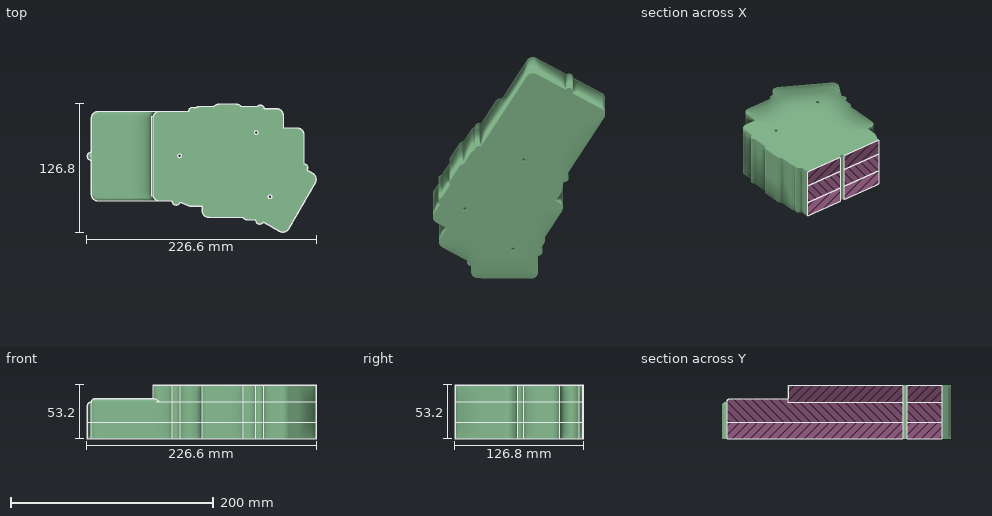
import cadquery as cq
import math


LID_HEIGHT = 16.62
BASE_HEIGHT = LID_HEIGHT
MIDDLE_HEIGHT = 20.0
BASE_TOP = BASE_HEIGHT
MIDDLE_TOP = BASE_TOP + MIDDLE_HEIGHT
LID_TOP = MIDDLE_TOP + LID_HEIGHT

CORNER_RADIUS = 7.0

TAIL_LEFT = -109.25
TAIL_FRONT = -32.7
TAIL_BACK = 56.2
TAIL_RIGHT = 16.0
TAIL_MIDDLE_Y = (TAIL_FRONT + TAIL_BACK) / 2
LID_LEFT = -48.2

HEAD_BLOCKS = [
    (-9.3, 40.0, -20.0, 61.0),
    (10.4, 40.9, -40.0, 63.425),
    (30.0, 63.0, -40.0, 61.0),
    (43.0, 80.9, -40.0, 58.9),
    (57.0, 101.3, -26.0, 39.8),
    (0.3, 70.0, -48.8, 28.0),
    (39.2, 70.0, -51.5, 28.0),
]

TURNED_SIDE = 66.3
TURNED_ANGLE = -30.0
TURNED_CENTRE = (70.58, -20.7)

WEDGE_ANGLE = 22.0
WEDGE_FRONT = -37.8
WEDGE_CORNER_X = -11.6
WEDGE_LEFT = -25.4
WEDGE_RIGHT = 16.0
WEDGE_BACK = 0.0

BOSS_RADIUS = 4.0
BOSS_CENTRES = [
    (-25.2, TAIL_FRONT),
    (-8.95, TAIL_BACK),
    (58.1, 58.4),
    (101.0, 0.3),
    (57.4, -51.5),
]

END_BOSS_SHOULDER = MIDDLE_TOP - BOSS_RADIUS

HOLE_DIAMETER = 3.4
HOLE_CENTRES = [(-21.8, 12.2), (53.9, 35.1), (67.5, -28.3)]

PAD_RISE = 3.3
PAD_GAP = 1.3
PAD_GAP_END_MARGIN = 5.0
PAD_OVERRUN = 20.0


def rounded_block(left, right, front, back, bottom, top):
    return (
        cq.Workplane("XY", origin=((left + right) / 2, (front + back) / 2, bottom))
        .rect(right - left, back - front)
        .extrude(top - bottom)
        .edges("|Z")
        .fillet(CORNER_RADIUS)
    )


def turned_block(bottom, top):
    return (
        cq.Workplane("XY", origin=(*TURNED_CENTRE, bottom))
        .transformed(rotate=(0, 0, TURNED_ANGLE))
        .rect(TURNED_SIDE, TURNED_SIDE)
        .extrude(top - bottom)
        .edges("|Z")
        .fillet(CORNER_RADIUS)
    )


def wedge(bottom, top):
    slope_rise = (WEDGE_CORNER_X - WEDGE_LEFT) * math.tan(math.radians(WEDGE_ANGLE))
    outline = [
        (WEDGE_LEFT, WEDGE_FRONT + slope_rise),
        (WEDGE_CORNER_X, WEDGE_FRONT),
        (WEDGE_RIGHT, WEDGE_FRONT),
        (WEDGE_RIGHT, WEDGE_BACK),
        (WEDGE_LEFT, WEDGE_BACK),
    ]
    corner = cq.selectors.NearestToPointSelector((WEDGE_CORNER_X, WEDGE_FRONT, (bottom + top) / 2))
    return (
        cq.Workplane("XY", origin=(0, 0, bottom))
        .polyline(outline)
        .close()
        .extrude(top - bottom)
        .edges(corner)
        .fillet(CORNER_RADIUS)
    )


def bosses(centres, bottom, top):
    return (
        cq.Workplane("XY", origin=(0, 0, bottom))
        .pushPoints(centres)
        .circle(BOSS_RADIUS)
        .extrude(top - bottom)
    )


def layer(left, bottom, top):
    """One slab of the case, with its tail starting at the given left side."""
    slab = rounded_block(left, TAIL_RIGHT, TAIL_FRONT, TAIL_BACK, bottom, top)
    for block in HEAD_BLOCKS:
        slab = slab.union(rounded_block(*block, bottom, top))
    slab = slab.union(turned_block(bottom, top))
    slab = slab.union(wedge(bottom, top))
    slab = slab.union(bosses(BOSS_CENTRES, bottom, top))
    return slab.clean()


def drill(body):
    drills = (
        cq.Workplane("XY")
        .pushPoints(HOLE_CENTRES)
        .circle(HOLE_DIAMETER / 2)
        .extrude(LID_TOP)
    )
    return body.cut(drills).solids()


def pad():
    """Raised pad with a rounded rim, fitted around the lid's corners and spaced off its end wall."""
    block = rounded_block(
        TAIL_LEFT, LID_LEFT + PAD_OVERRUN, TAIL_FRONT, TAIL_BACK, BASE_TOP, MIDDLE_TOP + PAD_RISE
    )
    block = block.faces(">Z").edges().fillet(PAD_RISE)
    lid_space = rounded_block(LID_LEFT, TAIL_RIGHT, TAIL_FRONT, TAIL_BACK, MIDDLE_TOP, LID_TOP)
    gap_length = TAIL_BACK - TAIL_FRONT - 2 * PAD_GAP_END_MARGIN
    gap = (
        cq.Workplane("XY", origin=(LID_LEFT, TAIL_MIDDLE_Y, MIDDLE_TOP))
        .rect(2 * PAD_GAP, gap_length)
        .extrude(LID_HEIGHT)
    )
    return block.cut(lid_space).cut(gap)


def end_boss(bottom, top):
    return bosses([(TAIL_LEFT, TAIL_MIDDLE_Y)], bottom, top)


def end_boss_dome():
    dome_centre = (TAIL_LEFT, TAIL_MIDDLE_Y, END_BOSS_SHOULDER)
    return cq.Workplane("XY", origin=dome_centre).sphere(BOSS_RADIUS)


base = drill(layer(TAIL_LEFT, 0, BASE_TOP).union(end_boss(0, BASE_TOP)))

middle = layer(TAIL_LEFT, BASE_TOP, MIDDLE_TOP).union(pad())
middle = middle.union(end_boss(BASE_TOP, END_BOSS_SHOULDER)).union(end_boss_dome())
middle = drill(middle)

lid = drill(layer(LID_LEFT, MIDDLE_TOP, LID_TOP))

result = cq.Compound.makeCompound([base.val(), middle.val(), lid.val()])